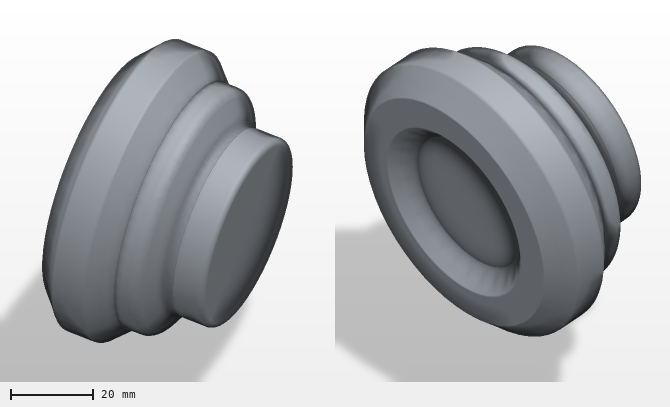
import cadquery as cq
import math

AXIS_START = (0, 0, 0)
AXIS_END = (1, 0, 0)

seal_radius = 37.75
seal_length = 19.85
seal_face_radius = 31.6
front_bevel_end = 5.9
rear_bevel_start = 14.05
seal_rear_radius = 32.2
crown_fillet = 1.0
face_fillet = 0.5

nose_radius = 18.1
recess_depth = 5.2
recess_mouth_radius = nose_radius + recess_depth

total_length = 39.95
flange_radius = 64.0 / 2
neck_radius = 48.6 / 2
end_radius = 49.0 / 2
shoulder_start = 23.7
shoulder_fillet = 3.0
neck_fillet = 2.05
cone_angle = math.radians(60)
neck_end = 31.7
end_fillet = 1.5


def revolve_profile(points):
    """Turn a closed (x, radius) outline about the X axis."""
    return cq.Workplane("XY").polyline(points).close().revolve(360, AXIS_START, AXIS_END)


def fillet_ring(body, x, radius, fillet):
    """Round the circular edge at axial position x with the given radius."""
    tolerance = 0.01
    rings = [
        edge for edge in body.edges("%CIRCLE").vals()
        if abs(edge.Center().x - x) < tolerance
        and abs(edge.radius() - radius) < tolerance
    ]
    return body.newObject(rings).fillet(fillet)


def make_seal():
    seal = revolve_profile([
        (0, recess_mouth_radius),
        (0, seal_face_radius),
        (front_bevel_end, seal_radius),
        (rear_bevel_start, seal_radius),
        (seal_length, seal_rear_radius),
        (seal_length, nose_radius),
        (recess_depth, nose_radius),
    ])
    seal = fillet_ring(seal, front_bevel_end, seal_radius, crown_fillet)
    seal = fillet_ring(seal, rear_bevel_start, seal_radius, crown_fillet)
    seal = fillet_ring(seal, 0, seal_face_radius, face_fillet)
    return fillet_ring(seal, 0, recess_mouth_radius, face_fillet)


def make_stem():
    cone_start = shoulder_start + shoulder_fillet * math.tan(cone_angle / 2)
    cone_end = cone_start + (flange_radius - neck_radius) / math.tan(cone_angle)
    neck_step = end_radius - neck_radius
    stem = revolve_profile([
        (recess_depth, 0),
        (recess_depth, nose_radius),
        (seal_length, nose_radius),
        (seal_length, flange_radius),
        (cone_start, flange_radius),
        (cone_end, neck_radius),
        (neck_end, neck_radius),
        (neck_end + neck_step, end_radius),
        (total_length, end_radius),
        (total_length, 0),
    ])
    stem = fillet_ring(stem, cone_start, flange_radius, shoulder_fillet)
    stem = fillet_ring(stem, cone_end, neck_radius, neck_fillet)
    return fillet_ring(stem, total_length, end_radius, end_fillet)


seal = make_seal()
stem = make_stem()
result = cq.Compound.makeCompound([seal.val(), stem.val()])